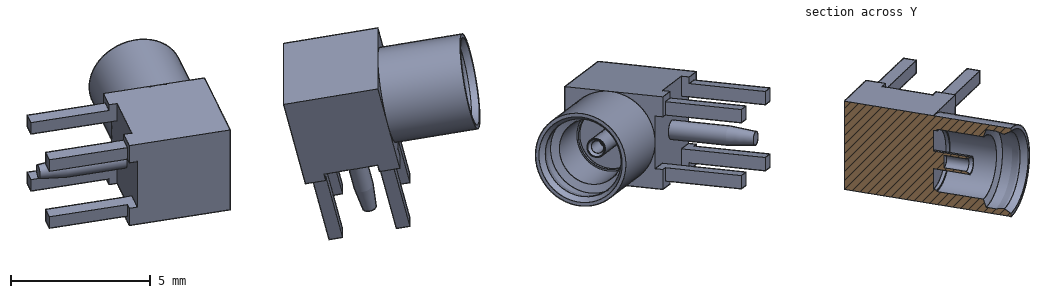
import cadquery as cq


body_size = 3.45
barrel_length = 3.0
barrel_radius = body_size / 2
body_center_x = barrel_length + body_size / 2
body_front_y = -body_size / 2

total_length_y = 6.65
foot_size = 0.745
foot_height = 0.3
leg_size = 0.5
leg_length = total_length_y - body_size - foot_height
leg_center_offset = body_size / 2 - foot_size + leg_size / 2
foot_center_offset = body_size / 2 - foot_size / 2

pin_radius = 0.35
pin_tip_radius = 0.25
pin_taper_length = 1.0
pin_length = total_length_y - body_size

mouth_radius = 1.59
throat_radius = 1.44
groove_radius = 1.5
bore_radius = 1.205
floor_radius = 1.145
mouth_depth = 0.25
throat_end = 0.325
groove_start = 0.58
groove_end = 0.96
bore_start = 1.065
bore_end = 2.86
floor_depth = barrel_length

contact_radius = 0.35
contact_rim_radius = 0.32
contact_hole_radius = 0.23
contact_tip_depth = 1.595
contact_lead_in = 0.13
contact_hole_depth = 1.0


def revolve_about_x(points):
    """Revolve a closed (x, radius) outline about the barrel axis."""
    return cq.Workplane("XY").polyline(points).close().revolve(360, (0, 0, 0), (1, 0, 0))


def make_shell():
    block = cq.Workplane("XY").box(body_size, body_size, body_size).translate((body_center_x, 0, 0))
    barrel = cq.Workplane("YZ").circle(barrel_radius).extrude(body_center_x)
    return block.union(barrel)


def make_socket():
    return revolve_about_x([
        (0, 0),
        (0, mouth_radius),
        (mouth_depth, throat_radius),
        (throat_end, throat_radius),
        (groove_start, groove_radius),
        (groove_end, groove_radius),
        (bore_start, bore_radius),
        (bore_end, bore_radius),
        (bore_end, floor_radius),
        (floor_depth, floor_radius),
        (floor_depth, 0),
    ])


def make_contact():
    hole_end = contact_tip_depth + contact_hole_depth
    return revolve_about_x([
        (contact_tip_depth, contact_rim_radius),
        (contact_tip_depth, contact_radius),
        (body_center_x, contact_radius),
        (body_center_x, 0),
        (hole_end, 0),
        (hole_end, contact_hole_radius),
        (contact_tip_depth + contact_lead_in, contact_hole_radius),
    ])


def make_corner_posts(size, center_offset, start_y, length):
    """Square posts at the four body corners, running toward -Y from start_y."""
    centers = [(x, z) for x in (-center_offset, center_offset) for z in (-center_offset, center_offset)]
    return (
        cq.Workplane("XZ", origin=(body_center_x, start_y, 0))
        .pushPoints(centers)
        .rect(size, size)
        .extrude(length)
    )


def make_signal_pin():
    tip_y = body_front_y - pin_length
    pin = [
        (0, body_front_y),
        (pin_radius, body_front_y),
        (pin_radius, tip_y + pin_taper_length),
        (pin_tip_radius, tip_y),
        (0, tip_y),
    ]
    return (
        cq.Workplane("XY", origin=(body_center_x, 0, 0))
        .polyline(pin)
        .close()
        .revolve(360, (0, 0, 0), (0, 1, 0))
    )


feet = make_corner_posts(foot_size, foot_center_offset, body_front_y, foot_height)
legs = make_corner_posts(leg_size, leg_center_offset, body_front_y - foot_height, leg_length)

result = (
    make_shell()
    .cut(make_socket())
    .union(make_contact())
    .union(feet)
    .union(legs)
    .union(make_signal_pin())
)